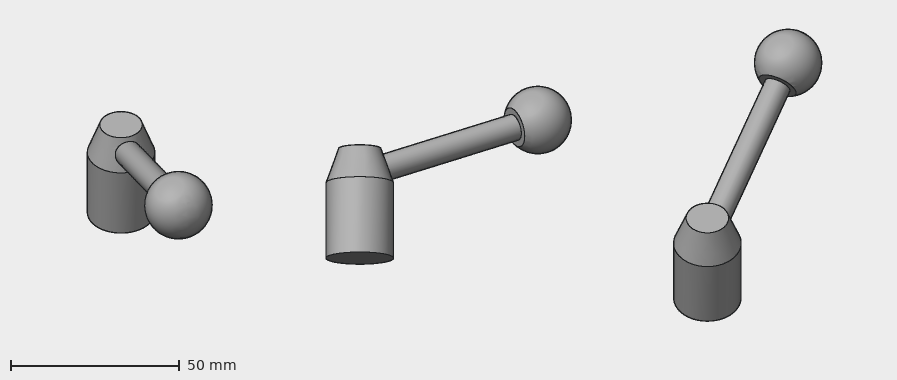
import cadquery as cq
import math

overall_length = 77.6
overall_height = 55.9
hub_diameter = 20.0
hub_height = 33.0
cone_height = 10.3
hub_top_diameter = 12.6
arm_diameter = 8.0
arm_angle = 20.0
ball_diameter = 20.0
ball_flat_diameter = 11.95

hub_radius = hub_diameter / 2
ball_radius = ball_diameter / 2
ball_x = overall_length - hub_radius - ball_radius
ball_z = overall_height - ball_radius
arm_slope = math.radians(arm_angle)
arm_length = ball_x / math.cos(arm_slope)
arm_start_z = ball_z - ball_x * math.tan(arm_slope)
flat_offset = math.sqrt(ball_radius**2 - (ball_flat_diameter / 2) ** 2)


def make_hub():
    """Cylinder with a tapered top, standing on the XY plane."""
    return (
        cq.Workplane("XZ")
        .lineTo(hub_radius, 0)
        .lineTo(hub_radius, hub_height - cone_height)
        .lineTo(hub_top_diameter / 2, hub_height)
        .lineTo(0, hub_height)
        .close()
        .revolve(360, (0, 0), (0, 1))
    )


arm_plane = cq.Plane(
    origin=(0, 0, arm_start_z),
    xDir=(0, 1, 0),
    normal=(math.cos(arm_slope), 0, math.sin(arm_slope)),
)


def make_arm():
    return cq.Workplane(arm_plane).circle(arm_diameter / 2).extrude(arm_length)


def make_ball():
    """Sphere cut off square to the arm on the side facing the hub."""
    ball = cq.Workplane("XY").sphere(ball_radius).translate((ball_x, 0, ball_z))
    keep = (
        cq.Workplane(arm_plane)
        .workplane(offset=arm_length - flat_offset)
        .circle(ball_diameter)
        .extrude(2 * ball_diameter)
    )
    return ball.intersect(keep)


result = make_hub().union(make_arm()).union(make_ball())